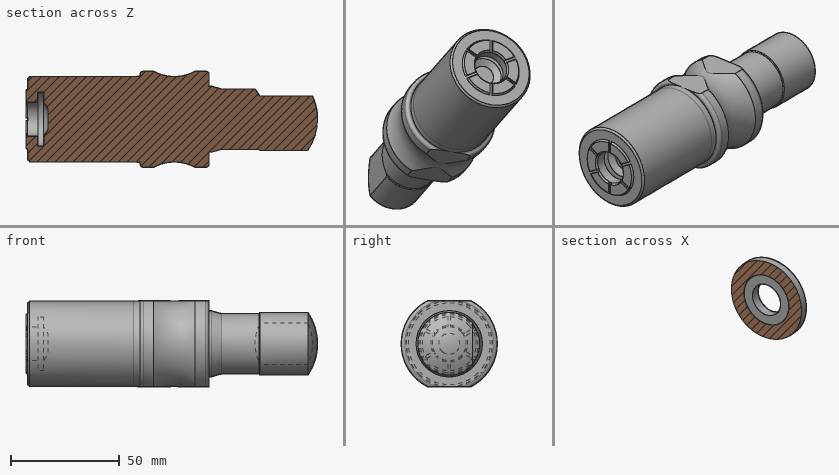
import cadquery as cq
import math

nose_face = 0.0
body_face = 0.90
body_fillet_start = 49.5
flange_left = 52.5
groove_left = 58.7
groove_right = 77.9
flange_right = 84.3
collar_end = 85.4
neck_start = 89.9
shaft_start = 107.6
tip_x = 134.22

body_dia = 39.37
flange_dia = 44.29
groove_dia = 39.37
collar_dia = 30.48
neck_dia = 27.94
shaft_dia = 28.90
nose_dia = 27.94
recess_mouth_dia = 15.57
recess_floor_dia = 9.65

body_chamfer = 0.9
body_fillet_radius = 25.4
flange_edge_radius = 1.7
tip_sphere_radius = 25.4
shaft_step_slope = 0.4
flats_width = 39.62

shaft_flat_y = 10.80
flat_ramp_start = 105.4

nose_taper = 0.65
mouth_depth = 5.6
cavity_dia = 24.79
cavity_length = 2.6
cone_depth = 2.0
slot_width = 1.27
slot_count = 6


def arc_midpoint(start, end, center):
    """Middle of the shorter arc about `center` between two points."""
    radius = math.dist(start, center)
    dx = (start[0] + end[0]) / 2 - center[0]
    dy = (start[1] + end[1]) / 2 - center[1]
    stretch = radius / math.hypot(dx, dy)
    return center[0] + dx * stretch, center[1] + dy * stretch


def make_turned_body():
    body_r = body_dia / 2
    flange_r = flange_dia / 2
    shaft_r = shaft_dia / 2

    fillet_run = flange_left - body_fillet_start
    fillet_center = (body_fillet_start, body_r + body_fillet_radius)
    fillet_start = (body_fillet_start, body_r)
    fillet_end = (flange_left, fillet_center[1] - math.sqrt(body_fillet_radius**2 - fillet_run**2))

    left_start = (flange_left, flange_r - flange_edge_radius)
    left_end = (flange_left + flange_edge_radius, flange_r)
    left_center = (left_end[0], left_start[1])
    right_start = (flange_right - flange_edge_radius, flange_r)
    right_end = (flange_right, flange_r - flange_edge_radius)
    right_center = (right_start[0], right_end[1])

    groove_middle = (groove_left + groove_right) / 2

    sphere_center = (tip_x - tip_sphere_radius, 0)
    shaft_end = (sphere_center[0] + math.sqrt(tip_sphere_radius**2 - shaft_r**2), shaft_r)
    tip = (tip_x, 0)

    profile = (
        cq.Workplane("XY")
        .moveTo(body_face, 0)
        .lineTo(body_face, body_r - body_chamfer)
        .lineTo(body_face + body_chamfer, body_r)
        .lineTo(*fillet_start)
        .threePointArc(arc_midpoint(fillet_start, fillet_end, fillet_center), fillet_end)
        .lineTo(*left_start)
        .threePointArc(arc_midpoint(left_start, left_end, left_center), left_end)
        .lineTo(groove_left, flange_r)
        .threePointArc((groove_middle, groove_dia / 2), (groove_right, flange_r))
        .lineTo(*right_start)
        .threePointArc(arc_midpoint(right_start, right_end, right_center), right_end)
        .lineTo(flange_right, collar_dia / 2)
        .lineTo(collar_end, collar_dia / 2)
        .lineTo(neck_start, neck_dia / 2)
        .lineTo(shaft_start - shaft_step_slope, neck_dia / 2)
        .lineTo(shaft_start, shaft_r)
        .lineTo(*shaft_end)
        .threePointArc(arc_midpoint(shaft_end, tip, sphere_center), tip)
        .close()
    )
    return profile.revolve(360, (0, 0, 0), (1, 0, 0))


def cut_flange_flats(part):
    """Trim the flange to two flats facing +Z and -Z."""
    length = flange_right - body_fillet_start
    middle = (body_fillet_start + flange_right) / 2
    flange_zone = cq.Workplane("XY").box(length, flange_dia, 2 * flange_dia).translate((middle, 0, 0))
    keep = cq.Workplane("XY").box(length, flange_dia, flats_width).translate((middle, 0, 0))
    return part.cut(flange_zone.cut(keep))


def cut_shaft_flat(part):
    """Flat on the +Y side of the shaft, with a ramp up onto the neck."""
    neck_r = neck_dia / 2
    cutter = (
        cq.Workplane("XY")
        .polyline([
            (flat_ramp_start, neck_r),
            (shaft_start, shaft_flat_y),
            (tip_x, shaft_flat_y),
            (tip_x, shaft_dia),
            (flat_ramp_start, shaft_dia),
        ])
        .close()
        .extrude(shaft_dia, both=True)
    )
    return part.cut(cutter)


def add_nose_ring(part):
    """Ring on the body face, tapered inside and out and split by radial slots."""
    nose_r = nose_dia / 2
    mouth_r = recess_mouth_dia / 2
    ring = (
        cq.Workplane("XY")
        .polyline([
            (body_face, mouth_r),
            (nose_face, mouth_r + nose_taper),
            (nose_face, nose_r - nose_taper),
            (body_face, nose_r),
        ])
        .close()
        .revolve(360, (0, 0, 0), (1, 0, 0))
    )
    for i in range(slot_count):
        slot = (
            cq.Workplane("XY")
            .box(body_face - nose_face, slot_width, nose_dia / 2, centered=(False, True, False))
            .rotate((0, 0, 0), (1, 0, 0), i * 360 / slot_count)
        )
        ring = ring.cut(slot)
    return part.union(ring)


def cut_recess(part):
    """Round mouth opening into a wider cavity, ended by a conical seat with a flat floor."""
    mouth_r = recess_mouth_dia / 2
    cavity_r = cavity_dia / 2
    cavity_start = nose_face + mouth_depth
    cavity_end = cavity_start + cavity_length
    cone_end = cavity_end + cone_depth
    cutter = (
        cq.Workplane("XY")
        .polyline([
            (body_face, 0),
            (body_face, mouth_r),
            (cavity_start, mouth_r),
            (cavity_start, cavity_r),
            (cavity_end, cavity_r),
            (cavity_end, mouth_r),
            (cone_end, recess_floor_dia / 2),
            (cone_end, 0),
        ])
        .close()
        .revolve(360, (0, 0, 0), (1, 0, 0))
    )
    return part.cut(cutter)


result = make_turned_body()
result = cut_flange_flats(result)
result = cut_shaft_flat(result)
result = add_nose_ring(result)
result = cut_recess(result)